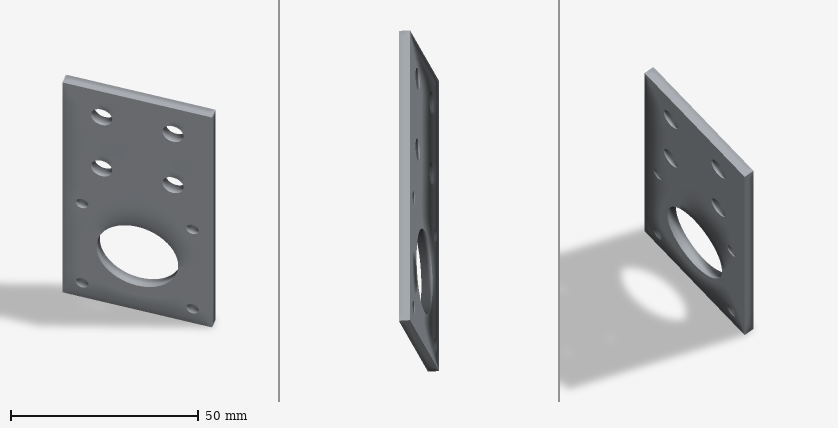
import cadquery as cq

width = 42.0
thickness = 3.0
height = 82.0

opening_diameter = 23.0
opening_height = width / 2
motor_screw_diameter = 3.5
motor_screw_spacing = 31.0

mount_hole_diameter = 6.0
mount_hole_spacing = 20.0
mount_group_height = 62.0


def through_hole_cutter(diameter, center_height, spacing=None):
    """Cylinders along Y: one on the centerline, or four in a square around it."""
    plane = cq.Workplane("XZ", origin=(0, thickness / 2, center_height))
    if spacing is not None:
        plane = plane.rarray(spacing, spacing, 2, 2)
    return plane.circle(diameter / 2).extrude(thickness)


plate = cq.Workplane("XY").box(width, thickness, height, centered=(True, True, False))

result = (
    plate
    .cut(through_hole_cutter(opening_diameter, opening_height))
    .cut(through_hole_cutter(motor_screw_diameter, opening_height, motor_screw_spacing))
    .cut(through_hole_cutter(mount_hole_diameter, mount_group_height, mount_hole_spacing))
)